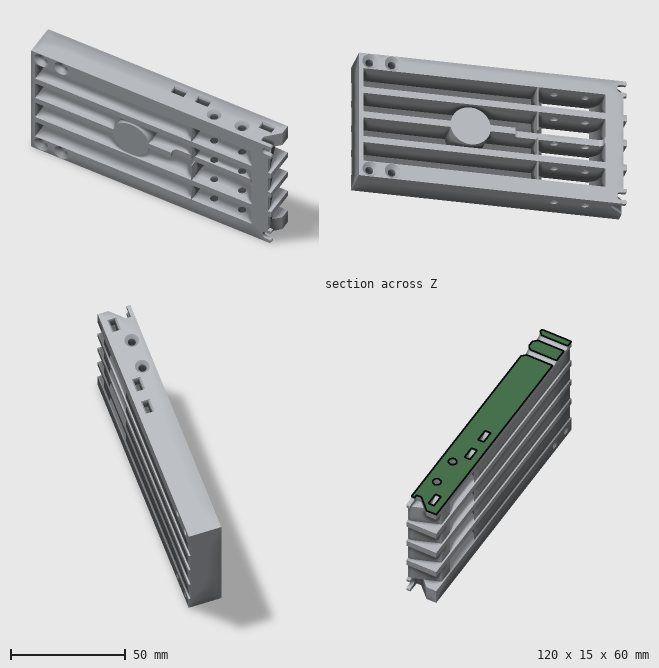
import cadquery as cq
import math

LENGTH = 120.0
THICKNESS = 15.0
HEIGHT = 60.0
TOP_Z = HEIGHT / 2

CHANNEL_COUNT = 4
CHANNEL_HEIGHT = 9.0
CHANNEL_PITCH = 12.05
CHANNEL_CENTERS_Z = [(i - (CHANNEL_COUNT - 1) / 2) * CHANNEL_PITCH for i in range(CHANNEL_COUNT)]
RIB_HEIGHT = CHANNEL_PITCH - CHANNEL_HEIGHT

POCKET_LEFT_X = 2.0
POCKET_RIGHT_X = 80.0
POCKET_DEPTH = 12.0

WEB_THICKNESS = 0.3
WINDOW_LEFT_X = POCKET_RIGHT_X + WEB_THICKNESS
WINDOW_LENGTH = 30.0
WINDOW_RIGHT_X = WINDOW_LEFT_X + WINDOW_LENGTH
WALL_CURVE_DIAMETER = 12.7
LEFT_NARROWING = 4.8
RIGHT_NARROWING = 3.9

REAR_GROOVE_DEPTH = 0.8
REAR_GROOVE_Y = THICKNESS - REAR_GROOVE_DEPTH
END_GROOVE_FRONT_DEPTH = 1.6
END_GROOVE_ANGLE = 20.0

BOSS_X = 50.0
BOSS_DIAMETER = 18.0

RELIEF_LEFT_X = 70.0
RELIEF_RIGHT_X = 110.0
RELIEF_DEPTH = 3.0
RELIEF_RADIUS = 2.0

EDGE_DISTANCE = 3.75

SCREW_DIAMETER = 3.5
COUNTERSINK_ANGLE = 90.0
FACE_SCREW_X = (5.0, 15.0)
FACE_COUNTERSINK_DIAMETER = 7.0
CROSS_SCREW_X = (88.55, 102.5)
CROSS_SCREW_Y = 5.4
CROSS_COUNTERSINK_DIAMETER = 6.5

NUT_TRAP_X = (68.5, 80.5, 112.5)
NUT_TRAP_Y = 10.0
NUT_MOUTH_LENGTH = 6.5
NUT_MOUTH_WIDTH = 4.1
NUT_LENGTH = 6.0
NUT_WIDTH = 2.6
NUT_MOUTH_DEPTH = 0.8
NUT_TRAP_DEPTH = 7.0
NUT_BOTTOM_SLOPE = 30.0
NUT_POINT_HEIGHT = NUT_LENGTH / 2 * math.tan(math.radians(NUT_BOTTOM_SLOPE))

NOTCH_LEFT_X = 114.0
NOTCH_HEIGHT = TOP_Z - CHANNEL_CENTERS_Z[-1] - CHANNEL_HEIGHT / 2
TAB_THICKNESS = 1.8
NOTCH_WALL_Y = 4.1
FORK_LEFT_X = 115.7
FORK_WIDTH = 3.6
FORK_RADIUS = 1.5
TAB_TIP_RADIUS = 0.9


def box(x0, x1, y0, y1, z_center, height):
    """Rectangular block spanning x0..x1 and y0..y1, centred on z_center."""
    block = cq.Workplane("XY").box(x1 - x0, y1 - y0, height)
    return block.translate(((x0 + x1) / 2, (y0 + y1) / 2, z_center))


def make_prism(profile, z_center, height):
    """Extrude a closed XY profile along Z, centred on z_center."""
    return profile.extrude(height / 2, both=True).translate((0, 0, z_center))


def make_window(z_center):
    """Window with flat front walls and arcs that narrow it at the rear."""
    radius = WALL_CURVE_DIAMETER / 2
    left_angle = math.acos(1 - LEFT_NARROWING / radius)
    right_angle = math.acos(1 - RIGHT_NARROWING / radius)
    left_center = (WINDOW_LEFT_X + radius, REAR_GROOVE_Y - radius * math.sin(left_angle))
    right_center = (WINDOW_RIGHT_X - radius, REAR_GROOVE_Y - radius * math.sin(right_angle))

    def left_arc(angle):
        return (left_center[0] - radius * math.cos(angle), left_center[1] + radius * math.sin(angle))

    def right_arc(angle):
        return (right_center[0] + radius * math.cos(angle), right_center[1] + radius * math.sin(angle))

    profile = (
        cq.Workplane("XY")
        .moveTo(WINDOW_LEFT_X, 0)
        .lineTo(WINDOW_RIGHT_X, 0)
        .lineTo(*right_arc(0))
        .threePointArc(right_arc(right_angle / 2), right_arc(right_angle))
        .lineTo(*left_arc(left_angle))
        .threePointArc(left_arc(left_angle / 2), left_arc(0))
        .close()
    )
    return make_prism(profile, z_center, CHANNEL_HEIGHT)


def make_end_groove(z_center):
    """Groove in the right end that deepens steadily from the back of the tabs to the rear."""
    front_x = LENGTH - END_GROOVE_FRONT_DEPTH
    rear_x = front_x - (THICKNESS - TAB_THICKNESS) * math.tan(math.radians(END_GROOVE_ANGLE))
    profile = cq.Workplane("XY").polyline([
        (front_x, 0),
        (LENGTH, 0),
        (LENGTH, THICKNESS),
        (rear_x, THICKNESS),
        (front_x, TAB_THICKNESS),
    ]).close()
    return make_prism(profile, z_center, CHANNEL_HEIGHT)


def cut_channels(body):
    """Pocket, window and grooves of every channel, leaving the round boss standing."""
    boss = (
        cq.Workplane("XZ")
        .center(BOSS_X, 0)
        .circle(BOSS_DIAMETER / 2)
        .extrude(-THICKNESS)
    )
    for z in CHANNEL_CENTERS_Z:
        pocket = box(POCKET_LEFT_X, POCKET_RIGHT_X, 0, POCKET_DEPTH, z, CHANNEL_HEIGHT)
        body = body.cut(pocket.cut(boss))
        body = body.cut(make_window(z))
        body = body.cut(box(0, LENGTH, REAR_GROOVE_Y, THICKNESS, z, CHANNEL_HEIGHT))
        body = body.cut(make_end_groove(z))
    return body


def cut_rib_relief(body):
    """Round-cornered relief in the front edge of the middle rib."""
    relief = box(RELIEF_LEFT_X, RELIEF_RIGHT_X, 0, RELIEF_DEPTH, 0, RIB_HEIGHT)
    return body.cut(relief.edges("|Z and >Y").fillet(RELIEF_RADIUS))


def cut_screw_holes(body):
    """Holes through the front face at the left end, and holes along Z across the windows."""
    hole_z = TOP_Z - EDGE_DISTANCE
    face_points = [(x, z) for x in FACE_SCREW_X for z in (-hole_z, hole_z)]
    body = (
        body.copyWorkplane(cq.Workplane("XZ"))
        .pushPoints(face_points)
        .cskHole(SCREW_DIAMETER, FACE_COUNTERSINK_DIAMETER, COUNTERSINK_ANGLE)
    )
    cross_points = [(x, CROSS_SCREW_Y) for x in CROSS_SCREW_X]
    return (
        body.copyWorkplane(cq.Workplane("XY", origin=(0, 0, TOP_Z)))
        .pushPoints(cross_points)
        .cskHole(SCREW_DIAMETER, CROSS_COUNTERSINK_DIAMETER, COUNTERSINK_ANGLE)
    )


def make_nut_trap(x):
    """Flared mouth above a slot that ends in a V."""
    mouth = (
        cq.Workplane("XY", origin=(x, NUT_TRAP_Y, TOP_Z))
        .rect(NUT_MOUTH_LENGTH, NUT_MOUTH_WIDTH)
        .workplane(offset=-NUT_MOUTH_DEPTH)
        .rect(NUT_LENGTH, NUT_WIDTH)
        .loft()
    )
    half_length = NUT_LENGTH / 2
    shoulder_depth = NUT_TRAP_DEPTH - NUT_POINT_HEIGHT
    slot = (
        cq.Workplane("XZ", origin=(x, NUT_TRAP_Y, TOP_Z))
        .polyline([
            (-half_length, -NUT_MOUTH_DEPTH),
            (half_length, -NUT_MOUTH_DEPTH),
            (half_length, -shoulder_depth),
            (0, -NUT_TRAP_DEPTH),
            (-half_length, -shoulder_depth),
        ])
        .close()
        .extrude(NUT_WIDTH / 2, both=True)
    )
    return mouth.union(slot)


def make_corner_notch():
    """Upper corner notch behind the tab, with a 45 degree rear wall."""
    wall_end_y = NOTCH_WALL_Y + LENGTH - NOTCH_LEFT_X
    profile = cq.Workplane("XY").polyline([
        (NOTCH_LEFT_X, TAB_THICKNESS),
        (LENGTH, TAB_THICKNESS),
        (LENGTH, wall_end_y),
        (NOTCH_LEFT_X, NOTCH_WALL_Y),
    ]).close()
    return make_prism(profile, TOP_Z - NOTCH_HEIGHT / 2, NOTCH_HEIGHT)


def cut_end_tabs(body):
    """Notch, fork slot and rounded prong corners at both right-hand corners."""
    fork_z = TOP_Z - EDGE_DISTANCE
    fork = box(FORK_LEFT_X, LENGTH, 0, TAB_THICKNESS, fork_z, FORK_WIDTH)
    fork = fork.edges("|Y and <X").fillet(FORK_RADIUS)
    upper_cut = make_corner_notch().union(fork)
    body = body.cut(upper_cut).cut(upper_cut.mirror("XY"))
    corner_depths = (0, EDGE_DISTANCE - FORK_WIDTH / 2, EDGE_DISTANCE + FORK_WIDTH / 2)
    for side in (-1, 1):
        for edge_depth in corner_depths:
            tip = (LENGTH, TAB_THICKNESS / 2, side * (TOP_Z - edge_depth))
            body = body.edges(cq.selectors.NearestToPointSelector(tip)).fillet(TAB_TIP_RADIUS)
    return body


result = cq.Workplane("XY").box(LENGTH, THICKNESS, HEIGHT).translate((LENGTH / 2, THICKNESS / 2, 0))
result = cut_channels(result)
result = cut_rib_relief(result)
result = cut_end_tabs(result)
result = cut_screw_holes(result)
for nut_x in NUT_TRAP_X:
    result = result.cut(make_nut_trap(nut_x))